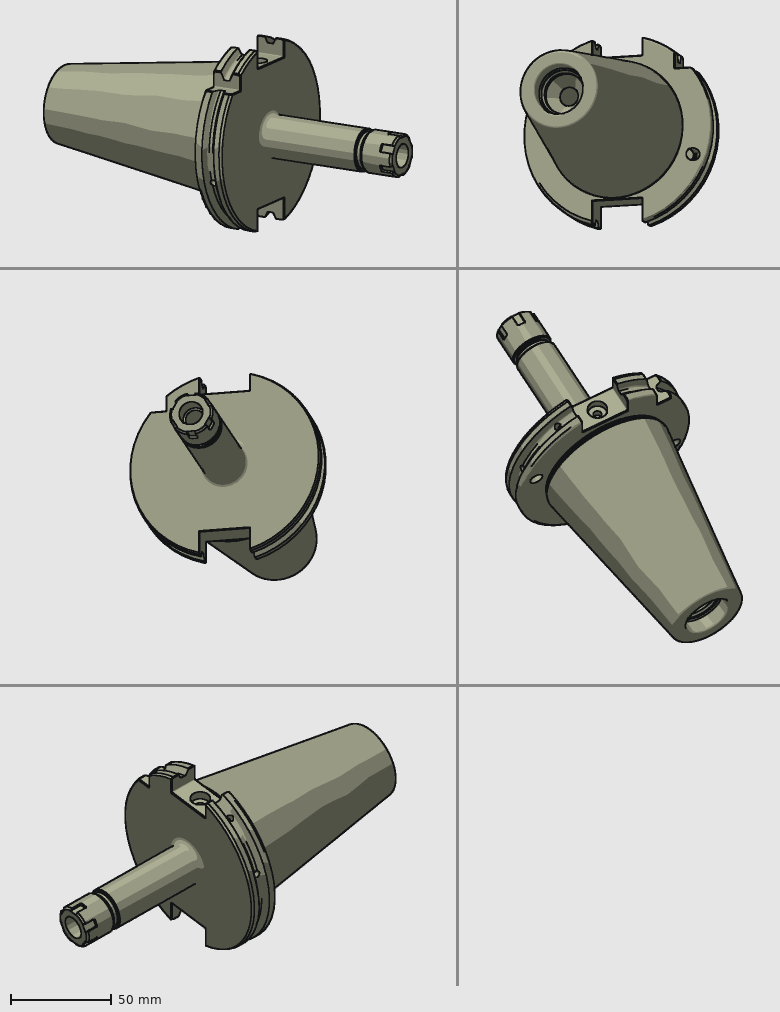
import cadquery as cq
import math


gauge_radius = 69.85 / 2
taper_slope = 7 / 48
taper_length = 101.75
taper_end_x = 0.5
tail_fillet = 2.0

land_radius = 34.6
land_end_x = 1.7
relief_radius = 34.1
relief_start_x = 2.3

flange_radius = 97.5 / 2
flange_back_x = 3.2
flange_front_x = 19.1
back_rim_fillet = 1.5
front_rim_bevel_length = 1.5
front_rim_bevel_depth = 0.6
groove_x = 11.1
groove_floor_radius = 45.6
groove_half_opening = 3.4
groove_half_angle = math.radians(30)
groove_fillet = 1.0

slot_half_width = 12.85
upper_slot_floor = 37.7
lower_slot_floor = 35.3
notch_wall = 30.0
notch_floor = 30.15
corner_fillet = 0.5
edge_chamfer = 0.45

pocket_diameter = 10.0
pocket_depth = 4.6
pilot_diameter = 4.2
pilot_depth = 4.0
drill_point_angle = math.radians(118)

coolant_radius = 42.0
coolant_angles = [20, 200]
coolant_diameter = 6.2
coolant_lean = 30
coolant_depth = 13.0
plug_diameter = 3.4
plug_depth = 9.0
spare_plug_angle = 60
spare_plug_depth = 4.0

nose_radius = 11.0
nose_end_x = 74.2
nose_fillet = 3.0
nose_chamfer = 0.5
spigot_radius = 9.5
spigot_step_x = 76.3
spigot_chamfer = 0.6
thread_radius = spigot_radius - spigot_chamfer
thread_end_x = 86.0

entry_radius = 12.4
entry_fillet = 1.5
entry_depth = 8.0
relief_bore_radius = 11.6
relief_bore_depth = 9.6
thread_bore_radius = 10.4
thread_bore_depth = 13.5
bore_radius = 4.75
bore_cone_length = 5.65

nut_radius = nose_radius
nut_back_x = 77.5
nut_front_x = 95.2
nut_back_chamfer = 0.6
nut_front_chamfer = 1.0
nut_slot_count = 6
nut_slot_width = 4.2
nut_slot_length = 7.0
nut_slot_floor = 9.5
nut_slot_fillet = 0.5
nut_mouth_radius = 6.0

clearance = 1.0
tolerance = 0.01


def taper_radius(x):
    return gauge_radius + taper_slope * x


def revolve_about_x(points):
    """Turn a closed outline of (x, radius) points about the X axis."""
    return cq.Workplane("XZ").polyline(points).close().revolve(360, (0, 0, 0), (1, 0, 0))


def ring(solid, x, radius):
    """Circular edges at one axial place and radius."""
    def matches(edge):
        box = edge.BoundingBox()
        is_flat = box.xlen < tolerance and abs(box.center.x - x) < tolerance
        if not is_flat or edge.geomType() != "CIRCLE":
            return False
        return abs(edge.radius() - radius) < tolerance

    return solid.newObject([edge for edge in solid.edges().vals() if matches(edge)])


def block(x_range, y_range, z_range):
    """Box between the given (low, high) places along each axis."""
    sizes = [high - low for low, high in (x_range, y_range, z_range)]
    lows = (x_range[0], y_range[0], z_range[0])
    return cq.Workplane("XY").box(*sizes, centered=False).translate(lows)


def holder_outline():
    """Turned holder without its groove, recesses and holes."""
    tail_x = -taper_length
    tail_radius = taper_radius(tail_x)
    body = revolve_about_x([
        (tail_x, 0),
        (tail_x, tail_radius),
        (taper_end_x, taper_radius(taper_end_x)),
        (land_end_x, land_radius),
        (relief_start_x, relief_radius),
        (flange_back_x, relief_radius),
        (flange_back_x, flange_radius),
        (flange_front_x - front_rim_bevel_length, flange_radius),
        (flange_front_x, flange_radius - front_rim_bevel_depth),
        (flange_front_x, nose_radius),
        (nose_end_x, nose_radius),
        (nose_end_x, spigot_radius),
        (spigot_step_x, spigot_radius),
        (spigot_step_x + spigot_chamfer, thread_radius),
        (thread_end_x, thread_radius),
        (thread_end_x, 0),
    ])
    body = ring(body, tail_x, tail_radius).fillet(tail_fillet)
    body = ring(body, flange_back_x, flange_radius).fillet(back_rim_fillet)
    body = ring(body, flange_front_x, nose_radius).fillet(nose_fillet)
    return ring(body, nose_end_x, nose_radius).chamfer(nose_chamfer)


def groove_cutter():
    groove_depth = flange_radius - groove_floor_radius
    floor_half_width = groove_half_opening - groove_depth * math.tan(groove_half_angle)
    cutter = revolve_about_x([
        (groove_x - groove_half_opening, flange_radius),
        (groove_x - floor_half_width, groove_floor_radius),
        (groove_x + floor_half_width, groove_floor_radius),
        (groove_x + groove_half_opening, flange_radius),
    ])
    for side in (-1, 1):
        corner_x = groove_x + side * floor_half_width
        cutter = ring(cutter, corner_x, groove_floor_radius).fillet(groove_fillet)
    return cutter


def recess_cutter(y_range, z_range, corners):
    """Square recess across the flange with rounded floor corners."""
    cutter = block((flange_back_x, flange_front_x), y_range, z_range)
    return cutter.edges(corners).fillet(corner_fillet)


def is_outer_edge(edge, y_range, z_range):
    """True for an edge of a recess face that lies on the flange faces or rim, not in the groove."""
    box = edge.BoundingBox()
    inside_y = y_range[0] - tolerance < box.ymin and box.ymax < y_range[1] + tolerance
    inside_z = z_range[0] - tolerance < box.zmin and box.zmax < z_range[1] + tolerance
    if not (inside_y and inside_z):
        return False
    on_back_rim = box.xmax < groove_x - groove_half_opening + tolerance
    on_front_rim = box.xmin > groove_x + groove_half_opening - tolerance
    on_face = on_back_rim or on_front_rim
    return on_face and flange_back_x - tolerance < box.xmin and box.xmax < flange_front_x + tolerance


def chamfer_recess(body, y_range, z_range):
    """Bevel the edges where a recess meets the flange faces and rim."""
    edges = [edge for edge in body.edges().vals() if is_outer_edge(edge, y_range, z_range)]
    return body.newObject(edges).chamfer(edge_chamfer)


def coolant_cutter(angle):
    """Hole from the back face that leans towards the axis as it goes forward."""
    hole = cq.Workplane("YZ").circle(coolant_diameter / 2).extrude(2 * coolant_depth)
    hole = hole.translate((-coolant_depth, 0, 0))
    hole = hole.rotate((0, 0, 0), (0, 0, 1), -coolant_lean)
    hole = hole.translate((flange_back_x, coolant_radius, 0))
    return hole.rotate((0, 0, 0), (1, 0, 0), angle)


def plug_cutter(angle, depth):
    """Radial hole from the floor of the groove."""
    hole = cq.Workplane("XZ").circle(plug_diameter / 2).extrude(-depth - clearance)
    hole = hole.translate((groove_x, groove_floor_radius - depth, 0))
    return hole.rotate((0, 0, 0), (1, 0, 0), angle)


def pocket_cutter():
    """Flat pocket with a pilot hole that ends in a drill point."""
    floor = upper_slot_floor - pocket_depth
    pilot_radius = pilot_diameter / 2
    point = pilot_radius / math.tan(drill_point_angle / 2)
    return (
        cq.Workplane("XZ").polyline([
            (0, upper_slot_floor),
            (pocket_diameter / 2, upper_slot_floor),
            (pocket_diameter / 2, floor),
            (pilot_radius, floor),
            (pilot_radius, floor - pilot_depth),
            (0, floor - pilot_depth - point),
        ]).close().revolve(360, (0, 0, 0), (0, 1, 0)).translate((groove_x, 0, 0))
    )


def bore_cutter():
    tail_x = -taper_length
    entry_x = tail_x + entry_depth
    relief_x = tail_x + relief_bore_depth
    thread_x = tail_x + thread_bore_depth
    return revolve_about_x([
        (tail_x, 0),
        (tail_x, entry_radius),
        (entry_x, entry_radius),
        (entry_x + entry_radius - relief_bore_radius, relief_bore_radius),
        (relief_x, relief_bore_radius),
        (relief_x + relief_bore_radius - thread_bore_radius, thread_bore_radius),
        (thread_x, thread_bore_radius),
        (thread_x + bore_cone_length, bore_radius),
        (thread_end_x, bore_radius),
        (thread_end_x, 0),
    ])


def make_holder():
    holder = holder_outline().cut(groove_cutter())
    beyond = flange_radius + clearance
    slot_sides = (-slot_half_width, slot_half_width)
    recesses = [
        (slot_sides, (upper_slot_floor, beyond), "|X and <Z"),
        (slot_sides, (-beyond, -lower_slot_floor), "|X and >Z"),
        ((-beyond, -notch_wall), (notch_floor, beyond), "|X and <Z and >Y"),
    ]
    for y_range, z_range, corners in recesses:
        holder = holder.cut(recess_cutter(y_range, z_range, corners))
        holder = chamfer_recess(holder, y_range, z_range)
    holder = holder.cut(pocket_cutter())
    for angle in coolant_angles:
        holder = holder.cut(coolant_cutter(angle))
        holder = holder.cut(plug_cutter(angle, plug_depth))
    holder = holder.cut(plug_cutter(spare_plug_angle, spare_plug_depth))
    holder = holder.cut(bore_cutter())
    return ring(holder, -taper_length, entry_radius).fillet(entry_fillet)


def make_nut():
    nut = revolve_about_x([
        (nut_back_x, thread_radius),
        (nut_back_x, nut_radius),
        (nut_front_x, nut_radius),
        (nut_front_x, nut_mouth_radius),
        (thread_end_x, nut_mouth_radius),
        (thread_end_x, thread_radius),
    ])
    nut = ring(nut, nut_back_x, nut_radius).chamfer(nut_back_chamfer)
    nut = ring(nut, nut_front_x, nut_radius).chamfer(nut_front_chamfer)
    half = nut_slot_width / 2
    slot_x = (nut_front_x - nut_slot_length, nut_front_x)
    slot = block(slot_x, (-half, half), (nut_slot_floor, nut_radius + clearance))
    slot = slot.edges("|Z and <X").fillet(nut_slot_fillet)
    for index in range(nut_slot_count):
        angle = index * 360 / nut_slot_count
        nut = nut.cut(slot.rotate((0, 0, 0), (1, 0, 0), angle))
    return nut


holder = make_holder()
nut = make_nut()
result = cq.Compound.makeCompound([holder.val(), nut.val()])